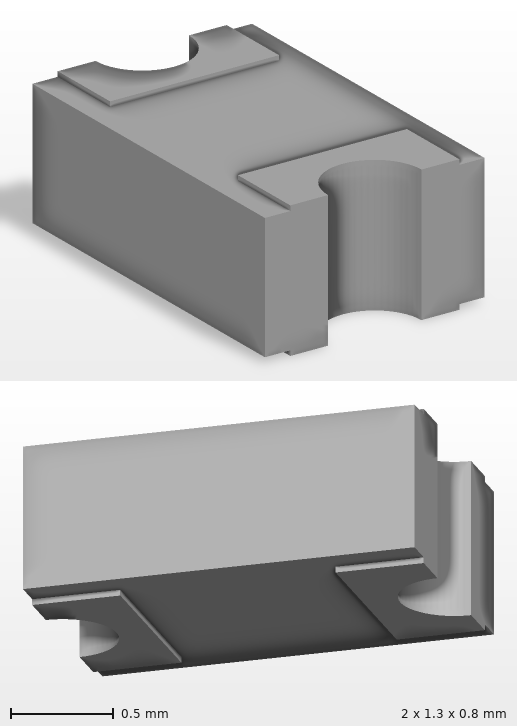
import cadquery as cq

length = 2
width = 1.3
height = 0.8

pad_length = 0.45
pad_width = 1
pad_thickness = 0.03

notch_radius = 0.275

body_height = height - 2 * pad_thickness

body = cq.Workplane("XY").box(length, width, body_height)

pad_x = (length - pad_length) / 2
terminals = (
    cq.Workplane("XY")
    .pushPoints([(-pad_x, 0), (pad_x, 0)])
    .box(pad_length, pad_width, height)
)

end_notches = (
    cq.Workplane("XY")
    .workplane(offset=-height / 2)
    .pushPoints([(-length / 2, 0), (length / 2, 0)])
    .circle(notch_radius)
    .extrude(height)
)

result = body.union(terminals).cut(end_notches)